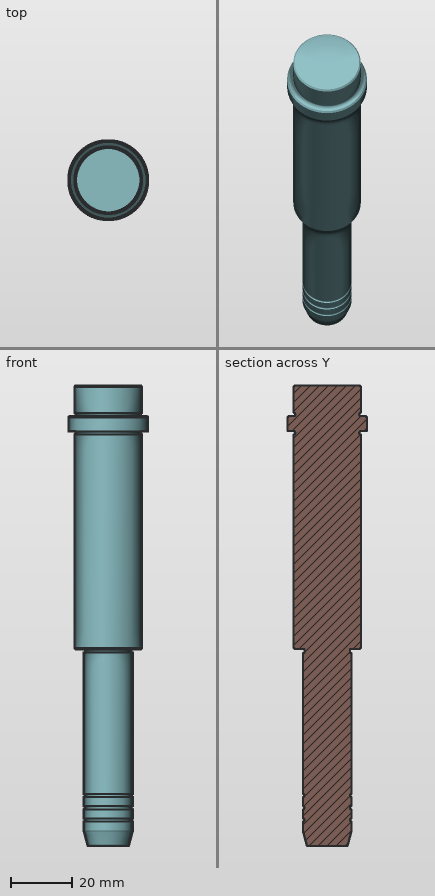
import cadquery as cq
import math

total_length = 150.0

body_radius = 11.0
body_bottom_z = 64.0
body_chamfer = 0.5

head_length = 10.0

flange_radius = 13.0
flange_thickness = 5.0
flange_top_z = total_length - head_length
flange_bottom_z = flange_top_z - flange_thickness
flange_chamfer = 0.5

groove_radius = 0.5
groove_width = 2 * groove_radius
ring_groove_count = 3
ring_groove_pitch = 4.0
first_ring_groove_z = 8.0

pin_radius = 8.0
neck_width = 1.0
neck_depth = 0.5
neck_radius = pin_radius - neck_depth
neck_bottom_z = body_bottom_z - neck_width

tip_length = 5.0
tip_taper_angle = 15.0
tip_radius = pin_radius - tip_length * math.tan(math.radians(tip_taper_angle))
tip_fillet = 0.5


def add_groove(outline, surface_radius, bottom_z):
    """Continue the outline upwards through a half-round groove that starts at bottom_z."""
    outline = outline.lineTo(surface_radius, bottom_z)
    return outline.threePointArc(
        (surface_radius - groove_radius, bottom_z + groove_radius),
        (surface_radius, bottom_z + groove_width),
    )


def add_pin(outline):
    """Tip, ring grooves, plain shank and relief neck."""
    outline = outline.lineTo(tip_radius, 0).lineTo(pin_radius, tip_length)
    for index in range(ring_groove_count):
        outline = add_groove(outline, pin_radius, first_ring_groove_z + index * ring_groove_pitch)
    outline = outline.lineTo(pin_radius, neck_bottom_z).lineTo(neck_radius, neck_bottom_z)
    return outline.lineTo(neck_radius, body_bottom_z)


def add_body(outline):
    """Chamfered body with the flange and the groove on each side of it."""
    outline = outline.lineTo(body_radius - body_chamfer, body_bottom_z)
    outline = outline.lineTo(body_radius, body_bottom_z + body_chamfer)
    outline = add_groove(outline, body_radius, flange_bottom_z - groove_width)
    outline = outline.lineTo(flange_radius, flange_bottom_z)
    outline = outline.lineTo(flange_radius, flange_top_z - flange_chamfer)
    outline = outline.lineTo(flange_radius - flange_chamfer, flange_top_z)
    outline = add_groove(outline, body_radius, flange_top_z)
    outline = outline.lineTo(body_radius, total_length - body_chamfer)
    return outline.lineTo(body_radius - body_chamfer, total_length)


def make_turned_part():
    """Half outline in the XZ plane, revolved about Z."""
    outline = cq.Workplane("XZ").moveTo(0, 0)
    outline = add_body(add_pin(outline))
    outline = outline.lineTo(0, total_length).close()
    return outline.revolve(360, (0, 0), (0, 1))


result = make_turned_part().faces("<Z").edges().fillet(tip_fillet)